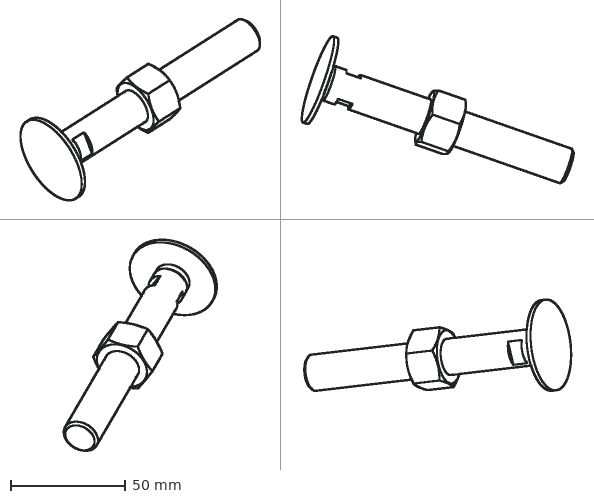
import cadquery as cq
import math

total_length = 117.0

foot_diameter = 40.0
foot_thickness = 2.0
neck_base_radius = 8.0
neck_tip_radius = 6.4
neck_length = 1.8

rod_diameter = 16.0
rod_start = foot_thickness + neck_length
foot_end_chamfer = 1.4
free_end_chamfer = 1.2
flats_width = 11.9
flats_start = 10.4
flats_length = 6.7
flats_angle = 30.0

nut_across_flats = 24.0
nut_start = 49.8
nut_height = 15.0
nut_face_radius = 11.7
nut_chamfer_height = 1.2
nut_corner_radius = nut_across_flats / 2 / math.cos(math.radians(30))


def revolve_about_y(points):
    """Revolve a closed (radius, y) outline about the Y axis."""
    return cq.Workplane("XY").polyline(points).close().revolve(360, (0, 0, 0), (0, 1, 0))


def plane_at(y):
    """Workplane at the given Y, facing +Y, with its local x axis along +X."""
    return cq.Workplane(cq.Plane(origin=(0, y, 0), xDir=(1, 0, 0), normal=(0, 1, 0)))


def make_foot():
    foot_radius = foot_diameter / 2
    return revolve_about_y([
        (0, 0),
        (foot_radius, 0),
        (foot_radius, foot_thickness),
        (neck_base_radius, foot_thickness),
        (neck_tip_radius, rod_start),
        (0, rod_start),
    ])


def make_rod():
    rod = plane_at(rod_start).circle(rod_diameter / 2).extrude(total_length - rod_start)
    rod = rod.faces("<Y").chamfer(foot_end_chamfer)
    rod = rod.faces(">Y").chamfer(free_end_chamfer)

    slab = plane_at(flats_start).rect(flats_width, rod_diameter).extrude(flats_length)
    blank = plane_at(flats_start).circle(rod_diameter).extrude(flats_length)
    flat_cutter = blank.cut(slab).rotate((0, 0, 0), (0, 1, 0), -flats_angle)
    return rod.cut(flat_cutter)


def make_nut():
    nut = plane_at(nut_start).polygon(6, 2 * nut_corner_radius).extrude(nut_height)

    nut_end = nut_start + nut_height
    envelope = revolve_about_y([
        (0, nut_start),
        (nut_face_radius, nut_start),
        (nut_corner_radius, nut_start + nut_chamfer_height),
        (nut_corner_radius, nut_end - nut_chamfer_height),
        (nut_face_radius, nut_end),
        (0, nut_end),
    ])
    bore = plane_at(nut_start).circle(rod_diameter / 2).extrude(nut_height)
    return nut.intersect(envelope).cut(bore)


foot = make_foot()
rod = make_rod()
nut = make_nut()

result = cq.Compound.makeCompound([foot.val(), *rod.solids().vals(), *nut.solids().vals()])